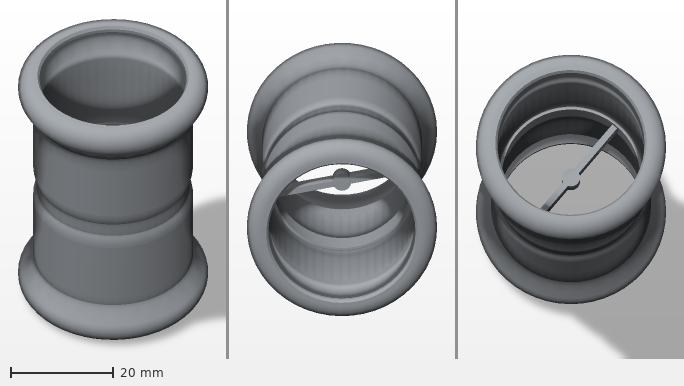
import cadquery as cq
import math

LENGTH = 54.0
HALF_LENGTH = LENGTH / 2
PIPE_RADIUS = 31.3 / 2
BORE_RADIUS = 28.8 / 2
WALL = PIPE_RADIUS - BORE_RADIUS

BEAD_OUTER_RADIUS = 37.2 / 2
BEAD_ARC_RADIUS = BEAD_OUTER_RADIUS - PIPE_RADIUS
BEAD_CENTER_Z = HALF_LENGTH - BEAD_ARC_RADIUS
BEAD_CAVITY_ARC = BEAD_ARC_RADIUS - WALL
CONE_ANGLE = math.radians(35)
BORE_ENTRY_ARC = 1.5

LIP_CHAMFER_WIDTH = 0.405
LIP_CHAMFER_DEPTH = 0.6

WAIST_RADIUS = 30.0 / 2
WAIST_HALF = 1.45
SHOULDER_HALF = 4.1
STOP_RADIUS = 27.0 / 2
STOP_TOP_RADIUS = 28.2 / 2

BAR_WIDTH = 1.25
HUB_RADIUS = 3.55 / 2
BAR_HEIGHT = 2 * WAIST_HALF

waist_step = PIPE_RADIUS - WAIST_RADIUS
waist_run = SHOULDER_HALF - WAIST_HALF
shoulder_arc = (waist_step**2 + waist_run**2) / (2 * waist_step)
inner_shoulder_arc = shoulder_arc - WALL
shoulder_center_r = PIPE_RADIUS - shoulder_arc
stop_half = SHOULDER_HALF - math.sqrt(
    inner_shoulder_arc**2 - (STOP_TOP_RADIUS - shoulder_center_r)**2
)


def bead_point(arc_radius, angle):
    """Point (r, z) on an upper bead arc, at an angle below the horizontal."""
    return (
        PIPE_RADIUS + arc_radius * math.cos(angle),
        BEAD_CENTER_Z - arc_radius * math.sin(angle),
    )


def cone_end_z(start, radius):
    """Height where a cone leaving the bead at start reaches the given radius."""
    return start[1] - (start[0] - radius) / math.tan(CONE_ANGLE)


def make_upper_shell():
    """Upper half of the tube wall, revolved about Z."""
    outer_cone = bead_point(BEAD_ARC_RADIUS, CONE_ANGLE)
    inner_cone = bead_point(BEAD_CAVITY_ARC, CONE_ANGLE)
    entry_radius = BORE_RADIUS + BORE_ENTRY_ARC * (1 - math.cos(CONE_ANGLE))
    entry_z = cone_end_z(inner_cone, entry_radius)
    bore_top_z = entry_z - BORE_ENTRY_ARC * math.sin(CONE_ANGLE)
    profile = (
        cq.Workplane("XZ")
        .moveTo(STOP_RADIUS, 0)
        .lineTo(WAIST_RADIUS, 0)
        .lineTo(WAIST_RADIUS, WAIST_HALF)
        .radiusArc((PIPE_RADIUS, SHOULDER_HALF), -shoulder_arc)
        .lineTo(PIPE_RADIUS, cone_end_z(outer_cone, PIPE_RADIUS))
        .lineTo(*outer_cone)
        .threePointArc(bead_point(BEAD_ARC_RADIUS, 0), (PIPE_RADIUS, HALF_LENGTH))
        .lineTo(BORE_RADIUS + LIP_CHAMFER_WIDTH, HALF_LENGTH)
        .lineTo(BORE_RADIUS, HALF_LENGTH - LIP_CHAMFER_DEPTH)
        .lineTo(BORE_RADIUS, HALF_LENGTH - WALL)
        .lineTo(PIPE_RADIUS, HALF_LENGTH - WALL)
        .threePointArc(bead_point(BEAD_CAVITY_ARC, 0), inner_cone)
        .lineTo(entry_radius, entry_z)
        .tangentArcPoint((BORE_RADIUS, bore_top_z), relative=False)
        .lineTo(BORE_RADIUS, SHOULDER_HALF)
        .tangentArcPoint((STOP_TOP_RADIUS, stop_half), relative=False)
        .lineTo(STOP_RADIUS, stop_half)
    )
    return profile.close().revolve(360, (0, 0, 0), (0, 1, 0))


def make_fitting():
    """Whole tube: the upper half joined to its copy turned upside down."""
    upper = make_upper_shell()
    lower = upper.rotate((0, 0, 0), (1, 0, 0), 180)
    return upper.union(lower).clean()


def make_disc(radius):
    """Disc about Z, as tall as the bars and centred at mid-height."""
    return cq.Workplane("XY").circle(radius).extrude(BAR_HEIGHT / 2, both=True)


def make_bar(side):
    """Bar from the middle to the stop wall, on the +X (+1) or -X (-1) side."""
    center = (side * STOP_RADIUS / 2, 0, 0)
    bar = cq.Workplane("XY").box(STOP_RADIUS, BAR_WIDTH, BAR_HEIGHT).translate(center)
    return bar.intersect(make_disc(STOP_RADIUS))


def make_hub_bar():
    """Central hub with its bar toward +X."""
    return make_bar(1).union(make_disc(HUB_RADIUS)).clean()


def make_plain_bar():
    """Bar toward -X, with a hollow end seated against the hub."""
    return make_bar(-1).cut(make_disc(HUB_RADIUS))


fitting = make_fitting()
hub_bar = make_hub_bar()
plain_bar = make_plain_bar()

result = cq.Compound.makeCompound([fitting.val(), hub_bar.val(), plain_bar.val()])